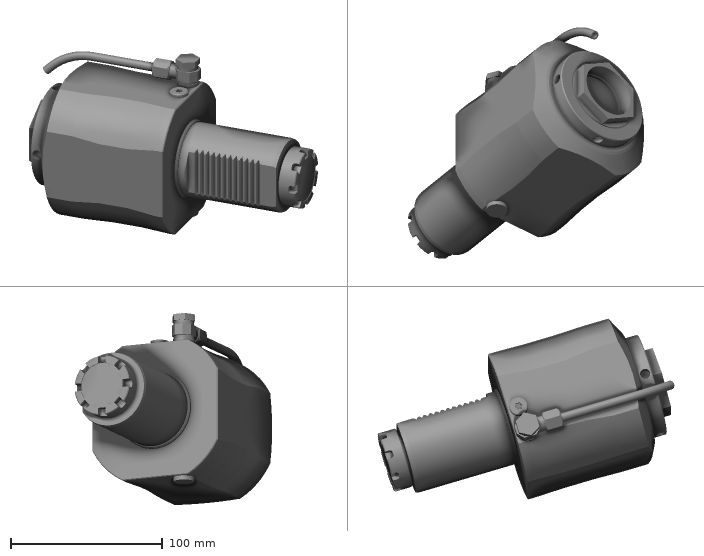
import cadquery as cq
import math


overall_length = 194.5
hex_sides = 6
cut_clearance = 2

body_half_width = 45.5
body_front = -89.6
body_rear = 0.5
body_cone_end = -82.6
body_round_radius = 51.3
body_waist_radius = 50.2
body_waist_front = -65.0
body_waist_rear = -4.7
body_front_face_radius = 37.3
body_cone_start_radius = 39.0
body_front_lip = 0.5
body_cone_start = body_front + body_front_lip
body_rear_chamfer = 0.5

ring_front = -99.0
ring_radius = 34.2
ring_chamfer = 0.5
spanner_hole_x = -94.3
spanner_hole_radius = 3.3
spanner_hole_depth = 4.9
spanner_hole_tip_depth = 2
spanner_hole_count = 4

hex_nut_front = -105.8
hex_nut_across_flats = 41.5
nut_gap_inner_radius = 24.3
nut_gap_outer_radius = 25.3
nut_gap_depth = 0.5
bore_radius = 18.5
bore_depth = 10.7
bore_floor_radius = 17.9
bore_floor_depth = 12.8

flange_radius = 26.2
flange_rear = 2.7
flange_chamfer = 0.8
shank_diameter = 50.0
shank_radius = shank_diameter / 2
relief_depth = 0.2
relief_rear = 3.7
shank_end = 71.0
shank_end_radius = 24.5
shank_taper_start = 68.5
flat_start = 8.4
flat_distance = 20.2
flat_corner_chamfer = 1.0
groove_count = 12
groove_row_length = 44.0
groove_pitch = groove_row_length / (groove_count - 1)
first_groove_x = 14.0
groove_width = 3.0
groove_depth = 2

neck_radius = 14.0
collet_nut_front = 72.3
collet_nut_end = 84.4
collet_nut_radius = 20.0
collet_nut_chamfer = 0.5
collet_recess_radius = 15.2
collet_recess_depth = 0.5
notch_count = 8
notch_width = 5.2
notch_depth = 4.7
notch_corner_radius = 1.5

fitting_x = -8.0
fitting_y = 17.1
washer_radius = 7.2
washer_height = 2.1
washer_top = body_half_width + washer_height
fitting_neck_radius = 6.8
block_bottom = 49.5
block_top = 57.0
block_length = 16.3
block_width = 13.8
block_corner = 4.0
bolt_head_bottom = 59.7
bolt_head_top = 64.0
bolt_head_across_flats = 14.0
bottom_stub_radius = 7.0
bottom_stub_height = 3.0

tube_z = 53.0
tube_radius = 3.0
tube_bend_start = -76.6
tube_bend_radius = 40.0
tube_bend_angle = 45
tube_bend_tilt = -15
tube_bore_radius = 1.7
tube_nut_front = -31.3
tube_nut_rear = -19.2
tube_nut_across_flats = 12.5
tube_nut_bevel = 1.4
connector_radius = 5.0

plug_x = -7.0
plug_radius = 6.2
plug_height = 2.3
plug_chamfer = 0.5
socket_radius = 2
socket_lobe_radius = 0.68
socket_lobe_count = 6
socket_depth = 1.5


def revolve_about_x(profile):
    """Closed outline of (x, radius) turned about the X axis."""
    return profile.close().revolve(360, (0, 0, 0), (1, 0, 0))


def cylinder_x(x_start, x_end, radius):
    return cq.Workplane("YZ", origin=(x_start, 0, 0)).circle(radius).extrude(x_end - x_start)


def cylinder_z(x, y, z_start, z_end, radius):
    return cq.Workplane("XY", origin=(x, y, z_start)).circle(radius).extrude(z_end - z_start)


def corner_diameter(across_flats):
    return across_flats / math.cos(math.pi / hex_sides)


def make_body():
    waist_middle = (body_waist_front + body_waist_rear) / 2
    turned = revolve_about_x(
        cq.Workplane("XY")
        .moveTo(body_front, 0)
        .lineTo(body_front, body_front_face_radius)
        .lineTo(body_cone_start, body_cone_start_radius)
        .lineTo(body_cone_end, body_round_radius)
        .lineTo(body_waist_front, body_round_radius)
        .threePointArc((waist_middle, body_waist_radius), (body_waist_rear, body_round_radius))
        .lineTo(body_rear, body_round_radius)
        .lineTo(body_rear, 0)
    )
    width = 2 * body_half_width
    square = (
        cq.Workplane("YZ", origin=(body_front, 0, 0))
        .rect(width, width)
        .extrude(body_rear - body_front)
    )
    return turned.intersect(square).faces(">X").edges().chamfer(body_rear_chamfer)


def make_ring():
    ring = cylinder_x(ring_front, body_front, ring_radius).faces("<X").edges().chamfer(ring_chamfer)
    gap = (
        cq.Workplane("YZ", origin=(ring_front, 0, 0))
        .circle(nut_gap_outer_radius)
        .circle(nut_gap_inner_radius)
        .extrude(nut_gap_depth)
    )
    ring = ring.cut(gap)
    outside = ring_radius + cut_clearance
    floor = ring_radius - spanner_hole_depth
    hole = (
        cq.Workplane("XZ")
        .moveTo(0, outside)
        .lineTo(spanner_hole_radius, outside)
        .lineTo(spanner_hole_radius, floor)
        .lineTo(0, floor - spanner_hole_tip_depth)
        .close()
        .revolve(360, (0, 0, 0), (0, 1, 0))
        .translate((spanner_hole_x, 0, 0))
    )
    for index in range(spanner_hole_count):
        ring = ring.cut(hole.rotate((0, 0, 0), (1, 0, 0), index * 360 / spanner_hole_count))
    return ring


def make_hex_nut():
    return (
        cq.Workplane("YZ", origin=(hex_nut_front, 0, 0))
        .polygon(hex_sides, corner_diameter(hex_nut_across_flats))
        .extrude(ring_front - hex_nut_front)
        .rotate((0, 0, 0), (1, 0, 0), 90)
    )


def make_front_bore():
    bore = cylinder_x(hex_nut_front, hex_nut_front + bore_depth, bore_radius)
    floor = cylinder_x(hex_nut_front, hex_nut_front + bore_floor_depth, bore_floor_radius)
    return bore.union(floor)


def make_shank():
    shank = revolve_about_x(
        cq.Workplane("XY")
        .lineTo(0, flange_radius)
        .lineTo(flange_rear - flange_chamfer, flange_radius)
        .lineTo(flange_rear, flange_radius - flange_chamfer)
        .lineTo(flange_rear, shank_radius - relief_depth)
        .lineTo(relief_rear, shank_radius - relief_depth)
        .lineTo(relief_rear, shank_radius)
        .lineTo(shank_taper_start, shank_radius)
        .lineTo(shank_end, shank_end_radius)
        .lineTo(shank_end, 0)
    )
    outside = shank_radius + cut_clearance
    bevel_start = shank_radius - flat_corner_chamfer
    flat = (
        cq.Workplane("XY", origin=(0, 0, -outside))
        .moveTo(flat_start, -flat_distance)
        .lineTo(flat_start, -bevel_start)
        .lineTo(flat_start - (outside - bevel_start), -outside)
        .lineTo(shank_end, -outside)
        .lineTo(shank_end, -flat_distance)
        .close()
        .extrude(2 * outside)
    )
    shank = shank.cut(flat)
    for index in range(groove_count):
        x = first_groove_x + index * groove_pitch
        groove = (
            cq.Workplane("XY", origin=(0, 0, -outside))
            .moveTo(x - groove_width / 2, -flat_distance)
            .lineTo(x, -flat_distance + groove_depth)
            .lineTo(x + groove_width / 2, -flat_distance)
            .close()
            .extrude(2 * outside)
        )
        shank = shank.cut(groove)
    return shank


def make_collet_nut():
    nut = cylinder_x(collet_nut_front, collet_nut_end, collet_nut_radius).edges().chamfer(collet_nut_chamfer)
    nut = nut.cut(cylinder_x(collet_nut_end - collet_recess_depth, collet_nut_end, collet_recess_radius))
    notch_height = collet_nut_radius - collet_recess_radius + cut_clearance
    notch = cq.Workplane("XY").box(notch_depth, notch_width, notch_height, centered=(False, True, False))
    notch = notch.edges("|Z and <X").fillet(notch_corner_radius)
    notch = notch.translate((collet_nut_end - notch_depth, 0, collet_recess_radius))
    for index in range(notch_count):
        nut = nut.cut(notch.rotate((0, 0, 0), (1, 0, 0), index * 360 / notch_count))
    return nut.union(cylinder_x(shank_end, collet_nut_front, neck_radius))


def make_fitting():
    fitting = cylinder_z(fitting_x, fitting_y, body_half_width, washer_top, washer_radius)
    neck = cylinder_z(fitting_x, fitting_y, washer_top, bolt_head_bottom, fitting_neck_radius)
    block = (
        cq.Workplane("XY", origin=(fitting_x, fitting_y, block_bottom))
        .rect(block_length, block_width)
        .extrude(block_top - block_bottom)
        .edges("|Z")
        .chamfer(block_corner)
    )
    head = (
        cq.Workplane("XY")
        .polygon(hex_sides, corner_diameter(bolt_head_across_flats))
        .extrude(bolt_head_top - bolt_head_bottom)
        .rotate((0, 0, 0), (0, 0, 1), 90)
        .translate((fitting_x, fitting_y, bolt_head_bottom))
    )
    stub = cylinder_z(
        fitting_x, fitting_y, -body_half_width - bottom_stub_height, -body_half_width, bottom_stub_radius
    )
    return fitting.union(neck).union(block).union(head).union(stub)


def make_tube_nut():
    length = tube_nut_rear - tube_nut_front
    corner_radius = corner_diameter(tube_nut_across_flats) / 2
    hexagon = (
        cq.Workplane("YZ")
        .polygon(hex_sides, 2 * corner_radius)
        .extrude(length)
        .rotate((0, 0, 0), (1, 0, 0), 90)
    )
    bevelled = cylinder_x(0, length, corner_radius).edges().chamfer(tube_nut_bevel)
    nut = hexagon.intersect(bevelled).translate((tube_nut_front, 0, 0))
    return nut.union(cylinder_x(tube_nut_rear, fitting_x, connector_radius))


def make_tube():
    """Coolant tube with its nut, bent down towards the spindle axis in a tilted plane."""
    bend = math.radians(tube_bend_angle)
    half_bend = bend / 2
    bend_x = tube_bend_start - tube_bend_radius * math.sin(bend)
    bend_z = -tube_bend_radius * (1 - math.cos(bend))
    tip_x = collet_nut_end - overall_length + tube_radius * math.sin(bend)
    tip_length = (bend_x - tip_x) / math.cos(bend)
    tip = (tip_x, bend_z - tip_length * math.sin(bend))
    bend_middle = (
        tube_bend_start - tube_bend_radius * math.sin(half_bend),
        -tube_bend_radius * (1 - math.cos(half_bend)),
    )
    path = (
        cq.Workplane("XZ")
        .moveTo(tube_nut_front, 0)
        .lineTo(tube_bend_start, 0)
        .threePointArc(bend_middle, (bend_x, bend_z))
        .lineTo(*tip)
    )
    tube = cq.Workplane("YZ", origin=(tube_nut_front, 0, 0)).circle(tube_radius).sweep(path)
    tip_plane = cq.Plane(
        origin=(tip[0], 0, tip[1]),
        xDir=(0, 1, 0),
        normal=(math.cos(bend), 0, math.sin(bend)),
    )
    tube = tube.cut(cq.Workplane(tip_plane).circle(tube_bore_radius).extrude(tip_length))
    tube = tube.rotate((0, 0, 0), (1, 0, 0), tube_bend_tilt)
    return tube.union(make_tube_nut()).translate((0, fitting_y, tube_z))


def make_plug():
    top = body_half_width + plug_height
    plug = cylinder_z(plug_x, 0, body_half_width, top, plug_radius).faces(">Z").edges().chamfer(plug_chamfer)
    plug = plug.cut(cylinder_z(plug_x, 0, top - socket_depth, top, socket_radius))
    lobes = (
        cq.Workplane("XY", origin=(plug_x, 0, top))
        .polarArray(socket_radius, 0, 360, socket_lobe_count)
        .circle(socket_lobe_radius)
        .extrude(-socket_depth)
    )
    return plug.cut(lobes)


result = make_body().union(make_ring()).union(make_hex_nut()).cut(make_front_bore())
for component in (make_shank(), make_collet_nut(), make_fitting(), make_tube(), make_plug()):
    result = result.union(component)